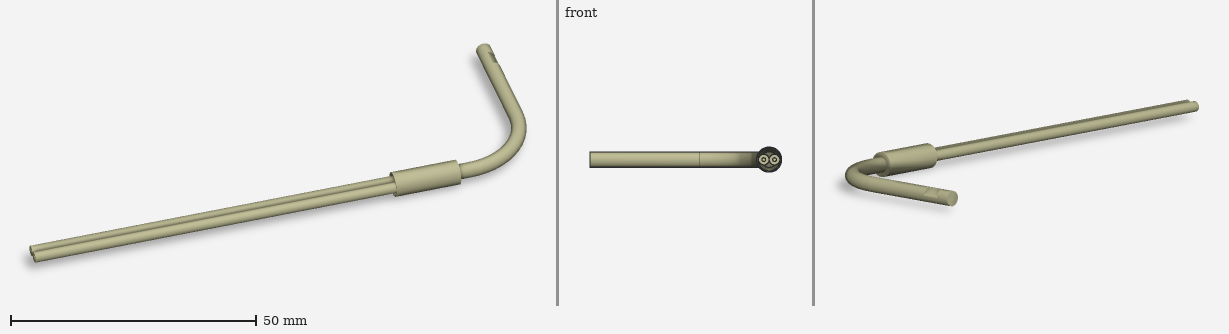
import cadquery as cq

total_length = 109.1
tube_diameter = 3.2
tube_radius = tube_diameter / 2
bend_radius = 14.2
tip_length = 22.4
tube_tail = 2.6

sleeve_diameter = 5.1
sleeve_length = 13.7
socket_depth = 6.5
mouth_diameter = 4.6
mouth_depth = 3.3

wire_diameter = 2.2
wire_pitch = wire_diameter
core_diameter = 0.8
core_length = 0.1

window_setback = 2.9
window_length = 3.6

bend_end_y = -bend_radius
sleeve_top_y = bend_end_y - tube_tail
sleeve_bottom_y = sleeve_top_y - sleeve_length
tube_end_y = sleeve_top_y - socket_depth
core_end_y = tube_radius - total_length
wire_end_y = core_end_y + core_length
tip_x = -bend_radius - tip_length


def rod(x, start_y, end_y, diameter):
    """Round bar along Y, running from start_y down to end_y."""
    length = start_y - end_y
    return cq.Workplane("XZ", origin=(x, start_y, 0)).circle(diameter / 2).extrude(length)


def make_tube():
    path = (
        cq.Workplane("XY")
        .moveTo(tip_x, 0)
        .lineTo(-bend_radius, 0)
        .radiusArc((0, bend_end_y), bend_radius)
        .lineTo(0, tube_end_y)
    )
    tube = cq.Workplane("YZ", origin=(tip_x, 0, 0)).circle(tube_radius).sweep(path)
    window = (
        cq.Workplane("YZ", origin=(tip_x + window_setback, 0, 0))
        .moveTo(tube_radius, 0)
        .lineTo(tube_radius, tube_radius)
        .lineTo(0, tube_radius)
        .close()
        .extrude(window_length)
    )
    return tube.cut(window)


def make_wire(x):
    insulation = rod(x, tube_end_y, wire_end_y, wire_diameter)
    core = rod(x, wire_end_y, core_end_y, core_diameter)
    return insulation.union(core)


def make_sleeve(tube, wires):
    sleeve = rod(0, sleeve_top_y, sleeve_bottom_y, sleeve_diameter)
    mouth = (
        cq.Workplane("XZ", origin=(0, sleeve_bottom_y, 0))
        .circle(mouth_diameter / 2)
        .workplane(offset=-mouth_depth)
        .circle(tube_radius)
        .loft()
    )
    sleeve = sleeve.cut(mouth)
    for insert in [tube, *wires]:
        sleeve = sleeve.cut(insert)
    return sleeve


tube = make_tube()
wires = [make_wire(side * wire_pitch / 2) for side in (-1, 1)]
sleeve = make_sleeve(tube, wires)

bodies = [tube, sleeve, *wires]
result = cq.Compound.makeCompound([body.solids().val() for body in bodies])